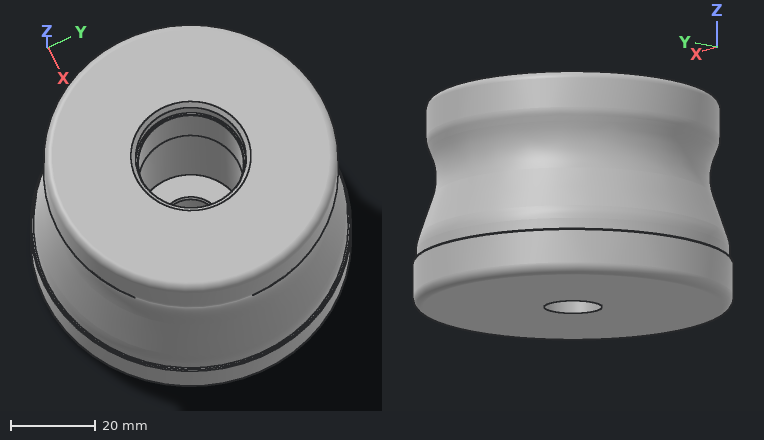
import cadquery as cq
import math

BASE_RADIUS = 38.1
BASE_HEIGHT = 10.75
TOTAL_HEIGHT = 50.0

BASE_BOTTOM_FILLET = 2.45
BASE_TOP_CHAMFER = 0.3

SKIRT_RADIUS = 37.3
SKIRT_TOP = 13.4
SHOULDER_TOP = 16.6
WAIST_RADIUS = 32.6
WAIST_HEIGHT = 31.3
WAIST_ARC_RADIUS = 14.9
LOWER_SLOPE = math.radians(18.5)
UPPER_SLOPE = math.radians(25.5)
RIM_RADIUS = 35.0
RIM_BOTTOM = 40.9
RIM_BLEND_HEIGHT = 2.0
RIM_FILLET = 2.0

BORE_RADIUS = 13.1
BORE_CHAMFER_WIDTH = 1.15
BORE_CHAMFER_DEPTH = 1.0
HOLE_RADIUS = 6.85
HOLE_CHAMFER = 0.45

LAND_RADIUS = 12.5
LAND_TOP = TOTAL_HEIGHT - 4.0
LAND_BOTTOM = TOTAL_HEIGHT - 15.55
LAND_CHAMFER = 0.15


def waist_point(angle):
    """Point on the waist arc, where angle is measured up from its narrowest place."""
    radius = WAIST_RADIUS + WAIST_ARC_RADIUS * (1 - math.cos(angle))
    height = WAIST_HEIGHT + WAIST_ARC_RADIUS * math.sin(angle)
    return radius, height


def blend_mid_point(cylinder_radius, tangent_height, span, slope):
    """Middle of an arc that leaves a cylinder and leans inward to the slope over the span."""
    arc_radius = abs(span) / math.sin(slope)
    radius = cylinder_radius - arc_radius * (1 - math.cos(slope / 2))
    height = tangent_height + math.copysign(arc_radius * math.sin(slope / 2), span)
    return radius, height


def blend_end(cylinder_radius, tangent_height, span, slope):
    """End of the same arc, where the slope is reached."""
    radius = cylinder_radius - abs(span) * math.tan(slope / 2)
    return radius, tangent_height + span


def make_base():
    """Flanged disc with a through hole, carrying the knob on its flat top."""
    base = cq.Workplane("XY").circle(BASE_RADIUS).circle(HOLE_RADIUS).extrude(BASE_HEIGHT)
    outer_edge = cq.selectors.RadiusNthSelector(-1)
    hole_edge = cq.selectors.RadiusNthSelector(0)
    base = base.faces("<Z").edges(outer_edge).fillet(BASE_BOTTOM_FILLET)
    base = base.faces(">Z").edges(outer_edge).chamfer(BASE_TOP_CHAMFER)
    return base.faces(">Z").edges(hole_edge).chamfer(HOLE_CHAMFER)


def make_knob():
    """Waisted ring whose bore has a narrower land partway down."""
    shoulder_span = SHOULDER_TOP - SKIRT_TOP
    knob = (
        cq.Workplane("XZ")
        .moveTo(BORE_RADIUS, BASE_HEIGHT)
        .lineTo(SKIRT_RADIUS, BASE_HEIGHT)
        .lineTo(SKIRT_RADIUS, SKIRT_TOP)
        .threePointArc(
            blend_mid_point(SKIRT_RADIUS, SKIRT_TOP, shoulder_span, LOWER_SLOPE),
            blend_end(SKIRT_RADIUS, SKIRT_TOP, shoulder_span, LOWER_SLOPE),
        )
        .lineTo(*waist_point(-LOWER_SLOPE))
        .threePointArc(waist_point(0), waist_point(UPPER_SLOPE))
        .lineTo(*blend_end(RIM_RADIUS, RIM_BOTTOM, -RIM_BLEND_HEIGHT, UPPER_SLOPE))
        .threePointArc(
            blend_mid_point(RIM_RADIUS, RIM_BOTTOM, -RIM_BLEND_HEIGHT, UPPER_SLOPE),
            (RIM_RADIUS, RIM_BOTTOM),
        )
        .lineTo(RIM_RADIUS, TOTAL_HEIGHT)
        .lineTo(BORE_RADIUS + BORE_CHAMFER_WIDTH, TOTAL_HEIGHT)
        .lineTo(BORE_RADIUS, TOTAL_HEIGHT - BORE_CHAMFER_DEPTH)
        .lineTo(BORE_RADIUS, LAND_TOP)
        .lineTo(LAND_RADIUS + LAND_CHAMFER, LAND_TOP)
        .lineTo(LAND_RADIUS, LAND_TOP - LAND_CHAMFER)
        .lineTo(LAND_RADIUS, LAND_BOTTOM)
        .lineTo(BORE_RADIUS, LAND_BOTTOM)
        .close()
        .revolve(360, (0, 0, 0), (0, 1, 0))
    )
    rim_edge = cq.selectors.RadiusNthSelector(-1)
    return knob.faces(">Z").edges(rim_edge).fillet(RIM_FILLET)


base = make_base()
knob = make_knob()

result = cq.Compound.makeCompound([base.val(), knob.val()])